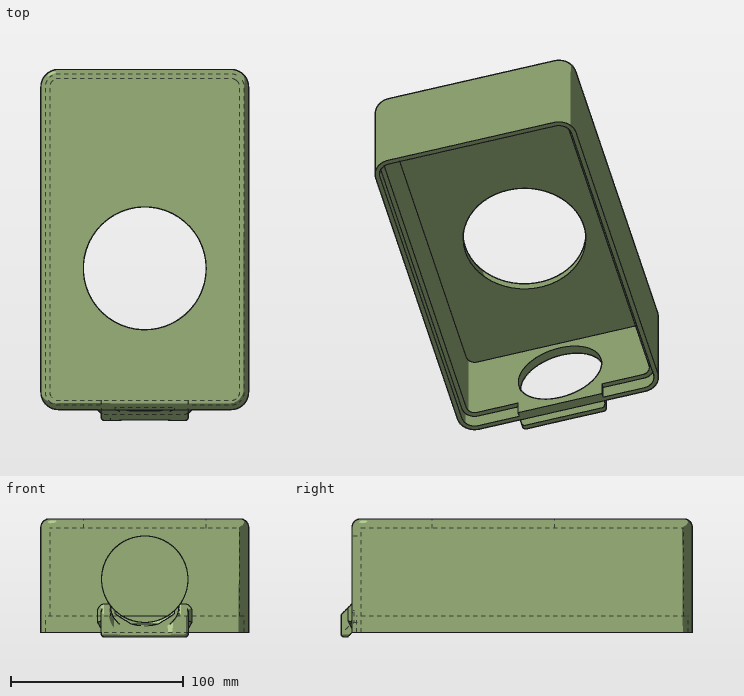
import cadquery as cq
import math

overall_length = 203.2
box_width = 120.3
box_length = 197.0
box_height = 65.8
corner_radius = 10.4
top_edge_radius = 5.0
wall = 5.3
rebate_height = 9.8
rebate_depth = wall / 2
front_y = -box_length / 2

top_hole_diameter = 71.0
top_hole_y = -16.7
front_hole_radius = 25.0
front_hole_z = 30.9

saddle_half_width = 25.2
saddle_depth = overall_length - box_length
saddle_out_y = front_y - saddle_depth
saddle_root_y = front_y + wall
saddle_drop = 2.6
saddle_top_z = 16.7
saddle_bottom_radius = 2.0
saddle_side_radius = 2.0
arm_nose_radius = 1.8

pocket_half_width = 19.7
floor_fall_angle = 45
pocket_back_floor_z = 5.5
pocket_blend_radius = 7.0
pocket_lip_radius = 1.5

flare_depth = 2.2
flare_angle = 45
flare_bottom_z = 2.5
flare_slant_height = 3.7
flare_corner_radius = 4.7
flare_inner_x = 22.4

bevel_depth = 2.0
bevel_inset = 1.2
bevel_growth = 2.0
bevel_half_width = 17.3


def rounded_block(width, length, height, radius):
    """Block standing on Z = 0 with rounded vertical corners."""
    block = cq.Workplane("XY").box(width, length, height, centered=(True, True, False))
    return block.edges("|Z").fillet(radius)


def cavity_block(thickness, height):
    """Space left inside walls of the given thickness."""
    return rounded_block(
        box_width - 2 * thickness,
        box_length - 2 * thickness,
        height,
        corner_radius - thickness,
    )


def box_shell():
    """Box with a rounded top, hollow from below, with a rebate inside the bottom rim."""
    body = rounded_block(box_width, box_length, box_height, corner_radius)
    body = body.faces(">Z").edges().fillet(top_edge_radius)
    body = body.cut(cavity_block(wall, box_height - wall))
    return body.cut(cavity_block(rebate_depth, rebate_height))


def saddle_block():
    """Bracket body: side profile swept across X, with its outer edges rounded."""
    profile = [
        (saddle_root_y, 0),
        (front_y, 0),
        (front_y - saddle_drop, -saddle_drop),
        (saddle_out_y, -saddle_drop),
        (saddle_out_y, saddle_top_z - saddle_depth),
        (saddle_root_y, saddle_top_z + wall),
    ]
    block = cq.Workplane("YZ").polyline(profile).close().extrude(saddle_half_width, both=True)
    block = block.faces("<Y").edges(">Z").fillet(arm_nose_radius)
    block = block.faces("<Y").edges("<Z").fillet(saddle_bottom_radius)
    return block.faces("<Y").edges("|Z").fillet(saddle_side_radius)


def arm_flares():
    """Root of both arms, narrowing at 45 degrees away from the wall."""
    half_width = saddle_half_width + flare_depth
    slant_top_z = flare_bottom_z + flare_slant_height
    outline = (
        cq.Workplane("XZ", origin=(0, front_y, 0))
        .moveTo(-saddle_half_width, flare_bottom_z)
        .lineTo(saddle_half_width, flare_bottom_z)
        .lineTo(half_width, slant_top_z)
        .lineTo(half_width, saddle_top_z - flare_corner_radius)
        .radiusArc((half_width - flare_corner_radius, saddle_top_z), -flare_corner_radius)
        .lineTo(flare_corner_radius - half_width, saddle_top_z)
        .radiusArc((-half_width, saddle_top_z - flare_corner_radius), -flare_corner_radius)
        .lineTo(-half_width, slant_top_z)
        .close()
    )
    flare = outline.extrude(flare_depth, taper=flare_angle)
    gap = cq.Workplane("XY", origin=(0, front_y, 0)).box(2 * flare_inner_x, box_width, box_width)
    return flare.cut(gap)


def saddle_pocket():
    """Clearance between the arms: a rounded trough along the floor, met by a blended back."""
    reach = 3 * saddle_depth
    trough_depth = 2 * front_hole_z
    turn = math.radians(floor_fall_angle)
    tangent_length = pocket_blend_radius * math.tan(turn / 2)
    blend_top_z = pocket_back_floor_z + tangent_length
    blend_foot = tangent_length * math.cos(turn)

    side = (
        cq.Workplane("YZ")
        .moveTo(saddle_root_y, trough_depth)
        .lineTo(saddle_root_y, rebate_height)
        .lineTo(front_y, rebate_height)
        .lineTo(front_y, blend_top_z)
        .radiusArc((front_y - blend_foot, pocket_back_floor_z - blend_foot), pocket_blend_radius)
        .lineTo(front_y - reach, pocket_back_floor_z - reach)
        .lineTo(front_y - reach, trough_depth)
        .close()
        .extrude(2 * pocket_half_width, both=True)
    )

    floor_plane = cq.Plane(origin=(0, front_y, pocket_back_floor_z), xDir=(1, 0, 0), normal=(0, -1, -1))
    trough = (
        cq.Workplane(floor_plane)
        .center(0, trough_depth / 2)
        .rect(2 * pocket_half_width, trough_depth)
        .extrude(trough_depth, both=True)
        .edges(cq.selectors.ParallelDirSelector(floor_plane.zDir))
        .fillet(pocket_blend_radius)
    )
    return side.intersect(trough)


def saddle():
    """Bracket with its pocket, rounded pocket lip and flared arms."""
    body = saddle_block().cut(saddle_pocket())
    floor_tip = cq.selectors.NearestToPointSelector((0, saddle_out_y, pocket_back_floor_z - saddle_depth))
    body = body.edges(floor_tip).fillet(pocket_lip_radius)
    return body.union(arm_flares())


def front_hole():
    """Round opening through the front wall and the back of the saddle."""
    axis_start = cq.Workplane("XZ", origin=(0, saddle_root_y, front_hole_z))
    return axis_start.circle(front_hole_radius).extrude(wall + saddle_depth)


def hole_bevel():
    """Cone widening forward, limited to the lower edge of the front hole."""
    start_y = front_y + bevel_inset
    cone = cq.Solid.makeCone(
        front_hole_radius,
        front_hole_radius + bevel_growth,
        bevel_depth,
        pnt=cq.Vector(0, start_y, front_hole_z),
        dir=cq.Vector(0, -1, 0),
    )
    limit = cq.Workplane("XY", origin=(0, front_y, 0)).box(2 * bevel_half_width, box_width, 2 * saddle_top_z)
    return limit.intersect(cq.Workplane("XY").add(cone))


def top_hole():
    """Round opening through the top, offset toward the front."""
    return cq.Workplane("XY").center(0, top_hole_y).circle(top_hole_diameter / 2).extrude(box_height)


result = box_shell().union(saddle()).cut(front_hole()).cut(hole_bevel()).cut(top_hole())